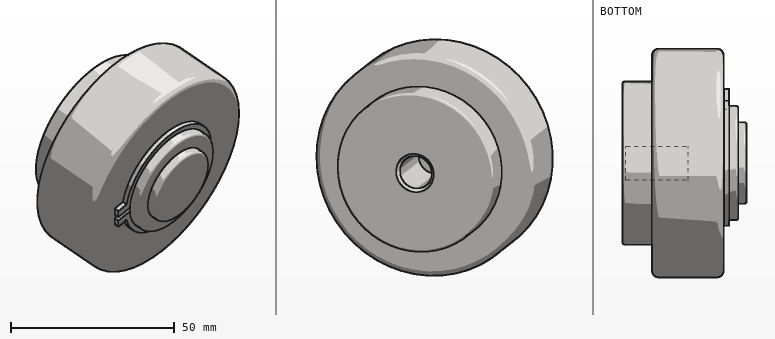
import cadquery as cq

wheel_diameter = 70.0
hub_diameter = 50.0
ring_diameter = 38.5
shoulder_diameter = 35.0
groove_diameter = 33.0
tip_diameter = 25.0

hub_length = 9.0
wheel_width = 22.0
groove_width = 1.6
ring_thickness = 1.55
shoulder_length = 4.5
tip_length = 2.5

wheel_round = 2.2
hub_round = 0.85
shoulder_round = 0.85
tip_round = 0.85

ear_reach = 22.6
ear_span = 7.15
ear_gap = 1.55

bore_diameter = 10.15
bore_mouth_diameter = 12.05
bore_depth = 20.0

wheel_start = hub_length
wheel_end = wheel_start + wheel_width
groove_end = wheel_end + groove_width
ring_start = groove_end - ring_thickness
shoulder_end = wheel_end + shoulder_length


def disc(start, length, diameter):
    """Solid cylinder on the X axis."""
    return cq.Workplane("YZ", origin=(start, 0, 0)).circle(diameter / 2).extrude(length)


def ear_block(width):
    """Block from the axis to the ear ends, centred on Z = 0."""
    return (
        cq.Workplane("XY")
        .box(ring_thickness, ear_reach, width, centered=(False, False, True))
        .translate((ring_start, -ear_reach, 0))
    )


def snap_ring():
    """Open ring with two ears, split between the ears."""
    ring = disc(ring_start, ring_thickness, ring_diameter).union(ear_block(ear_span))
    return ring.cut(ear_block(ear_gap)).cut(disc(ring_start, ring_thickness, groove_diameter))


def bore():
    """Blind hole with a 45 degree countersunk mouth."""
    radius = bore_diameter / 2
    mouth_radius = bore_mouth_diameter / 2
    countersink_depth = mouth_radius - radius
    return (
        cq.Workplane("XY")
        .moveTo(0, 0)
        .lineTo(0, mouth_radius)
        .lineTo(countersink_depth, radius)
        .lineTo(bore_depth, radius)
        .lineTo(bore_depth, 0)
        .close()
        .revolve(360, (0, 0, 0), (1, 0, 0))
    )


hub = disc(0, hub_length, hub_diameter).faces("<X").edges().fillet(hub_round)
wheel = disc(wheel_start, wheel_width, wheel_diameter).faces("<X or >X").edges().fillet(wheel_round)
shoulder = disc(wheel_end, shoulder_length, shoulder_diameter).faces(">X").edges().fillet(shoulder_round)
groove = disc(wheel_end, groove_width, shoulder_diameter).cut(disc(wheel_end, groove_width, groove_diameter))
tip = disc(shoulder_end, tip_length, tip_diameter).faces(">X").edges().fillet(tip_round)

result = hub.union(wheel).union(shoulder.cut(groove)).union(tip).union(snap_ring()).cut(bore())